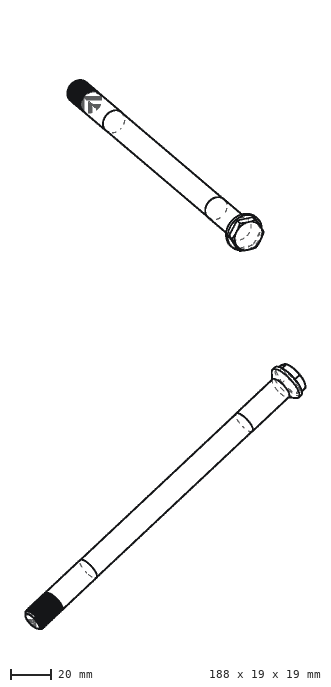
import cadquery as cq
import math

total_length = 188.0
shank_diameter = 12.0
body_diameter = 11.8
flange_diameter = 19.0

thread_length = 15.8
body_start = 40.2
body_length = 112.0
cone_angle = 45.0
flange_length = 1.9
hex_length = 4.1
tip_chamfer = 1.1

thread_pitch = 1.3
thread_depth = 0.8
thread_flank_angle = 60.0
cutter_clearance = 0.2
thread_lead_in = 1.1
thread_start_angle = 140.0

across_flats = 15.2
hex_chamfer_angle = 30.0

shank_radius = shank_diameter / 2
body_radius = body_diameter / 2
flange_radius = flange_diameter / 2
tip_x = -total_length / 2
head_end_x = total_length / 2
hex_start_x = head_end_x - hex_length
flange_start_x = hex_start_x - flange_length
cone_length = (flange_radius - shank_radius) / math.tan(math.radians(cone_angle))
cone_start_x = flange_start_x - cone_length
body_start_x = tip_x + body_start
body_end_x = body_start_x + body_length
across_corners = across_flats / math.cos(math.radians(30))


def make_turned_blank():
    """Shank with chamfered tip, slightly recessed body and conical flange."""
    profile = (
        cq.Workplane("XY")
        .moveTo(tip_x, 0)
        .lineTo(tip_x, shank_radius - tip_chamfer)
        .lineTo(tip_x + tip_chamfer, shank_radius)
        .lineTo(body_start_x, shank_radius)
        .lineTo(body_start_x, body_radius)
        .lineTo(body_end_x, body_radius)
        .lineTo(body_end_x, shank_radius)
        .lineTo(cone_start_x, shank_radius)
        .lineTo(flange_start_x, flange_radius)
        .lineTo(hex_start_x, flange_radius)
        .lineTo(hex_start_x, 0)
        .close()
    )
    return profile.revolve(360, (0, 0, 0), (1, 0, 0))


def make_hex_head():
    """Hexagon with corners on the Y axis, its end corners chamfered by a cone."""
    hexagon = (
        cq.Workplane("YZ", origin=(hex_start_x, 0, 0))
        .polygon(6, across_corners)
        .extrude(hex_length)
    )
    flat_radius = across_flats / 2
    cone_spread = hex_length / math.tan(math.radians(hex_chamfer_angle))
    chamfer_cone = (
        cq.Workplane("XY")
        .moveTo(hex_start_x, 0)
        .lineTo(hex_start_x, flat_radius + cone_spread)
        .lineTo(head_end_x, flat_radius)
        .lineTo(head_end_x, 0)
        .close()
        .revolve(360, (0, 0, 0), (1, 0, 0))
    )
    return hexagon.intersect(chamfer_cone)


def make_thread_groove():
    """Right-hand helical V groove that starts beyond the tip."""
    root_radius = shank_radius - thread_depth
    outer_radius = shank_radius + cutter_clearance
    half_angle = math.radians(thread_flank_angle / 2)
    half_width = (thread_depth + cutter_clearance) * math.tan(half_angle)
    groove_length = thread_length + thread_lead_in - half_width

    helix = cq.Wire.makeHelix(thread_pitch, groove_length, shank_radius)
    groove = (
        cq.Workplane("XZ")
        .moveTo(root_radius, 0)
        .lineTo(outer_radius, half_width)
        .lineTo(outer_radius, -half_width)
        .close()
        .sweep(cq.Workplane(helix), isFrenet=True)
    )
    along_x = groove.rotate((0, 0, 0), (0, 1, 0), 90)
    turned = along_x.rotate((0, 0, 0), (1, 0, 0), thread_start_angle)
    return turned.translate((tip_x - thread_lead_in, 0, 0))


result = make_turned_blank().union(make_hex_head()).cut(make_thread_groove())